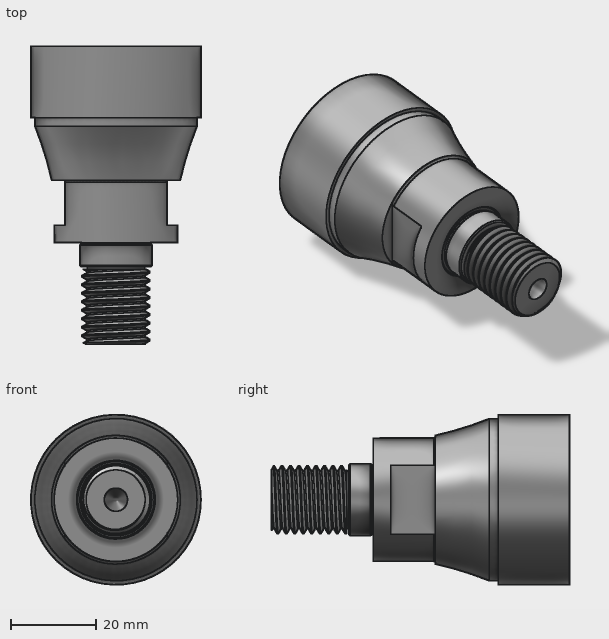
import cadquery as cq
import math

overall_length = 70.0

head_diameter = 40.0
head_radius = head_diameter / 2
head_length = 16.8
lip_radius = 19.05
lip_length = 2.0
skirt_end_radius = 15.1
skirt_hollow = 0.3
skirt_length = 12.7
root_fillet = 0.4

flange_radius = 14.5
flange_length = 14.6
flats_width = 24.0
flat_length = 10.5

collar_radius = 8.5
collar_length = 5.7
collar_chamfer = 0.35
undercut_outer_radius = 9.25
undercut_inner_radius = 8.2
undercut_depth = 0.3
undercut_width = 0.6

thread_radius = 8.0
thread_root_radius = 6.85
thread_pitch = thread_radius / 4
crest_flat = 0.3
flank_angle = 30.0
mouth_clearance = 0.15
thread_lead_in = thread_pitch
thread_overrun = thread_pitch / 2
relief_radius = 6.8
relief_width = 0.55
tip_radius = 7.0
tip_chamfer_length = 0.55

hole_radius = 2.7
hole_depth = 11.2
hole_point_angle = 118.0

head_start = overall_length - head_length
lip_start = head_start - lip_length
skirt_start = lip_start - skirt_length
flange_start = skirt_start - flange_length
collar_start = flange_start - collar_length


def make_plain_body():
    """Revolve the half profile; its points are (radius, distance from the tip)."""
    skirt_middle = ((lip_radius + skirt_end_radius) / 2 - skirt_hollow, lip_start - skirt_length / 2)
    profile = (
        cq.Workplane("XY")
        .moveTo(0, collar_start)
        .lineTo(collar_radius - collar_chamfer, collar_start)
        .lineTo(collar_radius, collar_start + collar_chamfer)
        .lineTo(collar_radius, flange_start - undercut_width)
        .lineTo(undercut_inner_radius, flange_start - undercut_width / 2)
        .lineTo(undercut_inner_radius, flange_start + undercut_depth)
        .lineTo(undercut_outer_radius - undercut_depth, flange_start + undercut_depth)
        .lineTo(undercut_outer_radius, flange_start)
        .lineTo(flange_radius, flange_start)
        .lineTo(flange_radius, skirt_start - root_fillet)
        .radiusArc((flange_radius + root_fillet, skirt_start), root_fillet)
        .lineTo(skirt_end_radius, skirt_start)
        .threePointArc(skirt_middle, (lip_radius, lip_start))
        .lineTo(lip_radius, head_start)
        .lineTo(head_radius, head_start)
        .lineTo(head_radius, overall_length)
        .lineTo(0, overall_length)
        .close()
    )
    return profile.revolve(360, (0, 0, 0), (0, 1, 0))


def make_flat_cutter(side):
    """Block that cuts one wrench flat, on the +X (1) or -X (-1) side."""
    depth = flange_radius
    centre_x = side * (flats_width / 2 + depth / 2)
    centre_y = skirt_start - flat_length / 2
    return cq.Workplane("XY").box(depth, flat_length, 2 * flange_radius).translate((centre_x, centre_y, 0))


def make_thread_cutter():
    """Right-handed V groove, from one pitch before the tip to half a pitch past the collar face."""
    outer_radius = thread_radius + mouth_clearance
    groove_depth = thread_radius - thread_root_radius
    mouth_half = (thread_pitch - crest_flat) / 2
    flank_slope = math.tan(math.radians(flank_angle))
    root_half = mouth_half - groove_depth * flank_slope
    outer_half = mouth_half + mouth_clearance * flank_slope
    helix_length = thread_lead_in + collar_start + thread_overrun
    helix = cq.Wire.makeHelix(thread_pitch, helix_length, thread_root_radius)
    groove = (
        cq.Workplane("XZ")
        .moveTo(thread_root_radius, -root_half)
        .lineTo(outer_radius, -outer_half)
        .lineTo(outer_radius, outer_half)
        .lineTo(thread_root_radius, root_half)
        .close()
        .sweep(cq.Workplane(obj=helix), isFrenet=True)
    )
    return groove.rotate((0, 0, 0), (1, 0, 0), -90).translate((0, -thread_lead_in, 0))


def make_threaded_stud():
    """Cut the thread in an overlong plain rod, then trim it to the tip chamfer and the relief."""
    relief_start = collar_start - relief_width
    rod_length = collar_start + 3 * thread_pitch
    rod = cq.Workplane("XZ").circle(thread_radius).extrude(-rod_length)
    envelope = (
        cq.Workplane("XY")
        .lineTo(tip_radius, 0)
        .lineTo(thread_radius, tip_chamfer_length)
        .lineTo(thread_radius, relief_start)
        .lineTo(relief_radius, relief_start)
        .lineTo(relief_radius, collar_start)
        .lineTo(0, collar_start)
        .close()
        .revolve(360, (0, 0, 0), (0, 1, 0))
    )
    return rod.cut(make_thread_cutter()).intersect(envelope)


def make_hole_cutter():
    """Blind drilled hole with a conical end."""
    point_length = hole_radius / math.tan(math.radians(hole_point_angle / 2))
    return (
        cq.Workplane("XY")
        .lineTo(hole_radius, 0)
        .lineTo(hole_radius, hole_depth)
        .lineTo(0, hole_depth + point_length)
        .close()
        .revolve(360, (0, 0, 0), (0, 1, 0))
    )


body = make_plain_body().union(make_threaded_stud())
for side in (-1, 1):
    body = body.cut(make_flat_cutter(side))
body = body.cut(make_hole_cutter())

result = body